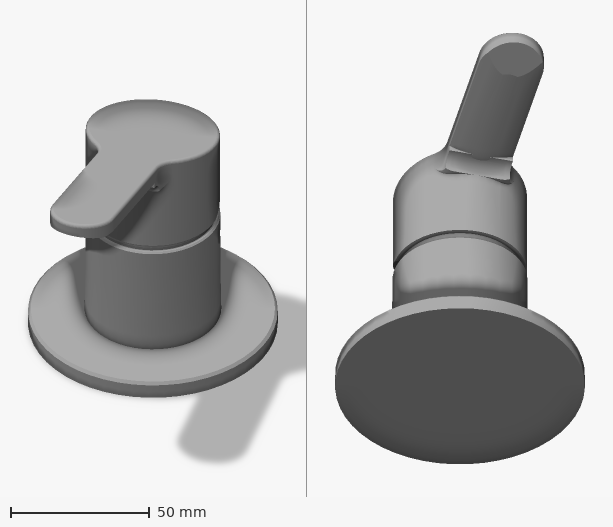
import cadquery as cq
import math

flange_radius = 45.0
flange_height = 6.5
flange_edge = 1.0

body_foot_radius = 24.7
body_radius = 24.3
body_top = 49.8
body_edge = 0.6

neck_radius = 22.8
neck_top = 50.9
dome_top_radius = 18.8
dome_mid_radius = 21.2
dome_height = 12.0

cap_radius = 24.2
cap_bottom = 52.8
cap_relief_rise = 11.0
top_at_axis = 86.9
top_tilt = 10.0
top_edge = 1.1

lever_half_width = 11.8
lever_tip_y = -81.0
lever_root_y = -25.6
lever_side_height = 5.7
lever_crown = 2.1
tip_side_height = 5.2
tip_bevel_length = 13.2
root_fillet = 4.7
root_corner_radius = 6.3

lever_end_y = lever_tip_y + lever_half_width
flare_radius = (lever_half_width**2 + lever_root_y**2 - cap_radius**2) / (
    2 * (cap_radius - lever_half_width)
)
slope = math.tan(math.radians(top_tilt))
headroom = 25.2


def top_height(y):
    """Height of the sloping top plane at a given Y."""
    return top_at_axis - y * slope


def make_base():
    flange = cq.Workplane("XY").circle(flange_radius).extrude(flange_height)
    flange = flange.faces(">Z").edges().chamfer(flange_edge)
    profile = (
        cq.Workplane("XZ")
        .lineTo(body_foot_radius, 0)
        .lineTo(body_radius, body_top - body_edge)
        .lineTo(body_radius - body_edge, body_top)
        .lineTo(neck_radius, body_top)
        .lineTo(neck_radius, neck_top)
        .threePointArc(
            (dome_mid_radius, neck_top + dome_height / 2),
            (dome_top_radius, neck_top + dome_height),
        )
        .lineTo(0, neck_top + dome_height)
        .close()
    )
    return flange.union(profile.revolve(360, (0, 0, 0), (0, 1, 0)))


def make_cap():
    side = (
        cq.Workplane("YZ")
        .moveTo(-cap_radius, cap_bottom)
        .lineTo(0, cap_bottom)
        .lineTo(cap_radius, cap_bottom + cap_relief_rise)
        .lineTo(cap_radius, top_height(cap_radius))
        .lineTo(-cap_radius, top_height(-cap_radius))
        .close()
        .extrude(cap_radius, both=True)
    )
    return cq.Workplane("XY").circle(cap_radius).extrude(top_at_axis + headroom).intersect(side)


def lever_plan():
    """Vertical prism over the lever, flared where it meets the cap."""
    flare_x = lever_half_width + flare_radius
    reach = cap_radius / (cap_radius + flare_radius)
    touch_x = flare_x * reach
    touch_y = lever_root_y * reach
    towards_cap = math.atan2(touch_y - lever_root_y, touch_x - flare_x)
    mid_angle = (math.pi + towards_cap) / 2
    mid_x = flare_x + flare_radius * math.cos(mid_angle)
    mid_y = lever_root_y + flare_radius * math.sin(mid_angle)
    return (
        cq.Workplane("XY")
        .moveTo(0, 0)
        .lineTo(touch_x, touch_y)
        .threePointArc((mid_x, mid_y), (lever_half_width, lever_root_y))
        .lineTo(lever_half_width, lever_end_y)
        .threePointArc((0, lever_tip_y), (-lever_half_width, lever_end_y))
        .lineTo(-lever_half_width, lever_root_y)
        .threePointArc((-mid_x, mid_y), (-touch_x, touch_y))
        .close()
        .extrude(top_at_axis + headroom)
    )


def make_lever():
    tilted = cq.Plane(
        origin=(0, 0, top_at_axis),
        xDir=(1, 0, 0),
        normal=(0, -1, slope),
    )
    slab = (
        cq.Workplane(tilted)
        .moveTo(-cap_radius, 0)
        .lineTo(cap_radius, 0)
        .lineTo(cap_radius, -lever_side_height)
        .lineTo(lever_half_width, -lever_side_height)
        .threePointArc(
            (0, -lever_side_height - lever_crown),
            (-lever_half_width, -lever_side_height),
        )
        .lineTo(-cap_radius, -lever_side_height)
        .close()
        .extrude(-2 * lever_tip_y)
    )
    bevel_start = lever_tip_y + tip_bevel_length
    crown_depth = lever_side_height + lever_crown
    bevel = (
        cq.Workplane("YZ")
        .moveTo(bevel_start, top_height(bevel_start) - crown_depth)
        .lineTo(lever_tip_y, top_height(lever_tip_y) - tip_side_height)
        .lineTo(lever_tip_y, top_height(bevel_start) - crown_depth)
        .close()
        .extrude(cap_radius, both=True)
    )
    return lever_plan().intersect(slab).cut(bevel)


def make_root_fillet():
    """Concave web under the lever where it leaves the cap."""
    underside = lever_side_height + lever_crown
    wall_y = -cap_radius
    web_y = wall_y - root_fillet
    wall_z = top_height(wall_y) - underside - root_fillet
    web_z = top_height(web_y) - underside
    web_half_width = (lever_half_width + flare_radius) * cap_radius / (cap_radius + flare_radius)
    bulge = root_fillet * (1 - math.sqrt(0.5))
    web = (
        cq.Workplane("YZ")
        .moveTo(0, wall_z)
        .lineTo(wall_y, wall_z)
        .threePointArc((wall_y - bulge, web_z - bulge), (web_y, web_z))
        .lineTo(web_y, top_height(web_y))
        .lineTo(0, top_height(0))
        .close()
        .extrude(cap_radius, both=True)
    )
    rounding = (
        cq.Workplane("XY")
        .box(2 * web_half_width, 2 * cap_radius + 2 * root_fillet, headroom, centered=(True, True, False))
        .edges("|Y and <Z")
        .fillet(root_corner_radius)
        .translate((0, 0, wall_z))
    )
    return lever_plan().intersect(web).intersect(rounding)


handle = make_cap().union(make_lever())
handle = handle.union(make_root_fillet())
sloping_top = cq.selectors.DirectionMinMaxSelector(cq.Vector(0, slope, 1), True)
handle = handle.faces(sloping_top).edges().fillet(top_edge)
result = make_base().union(handle)